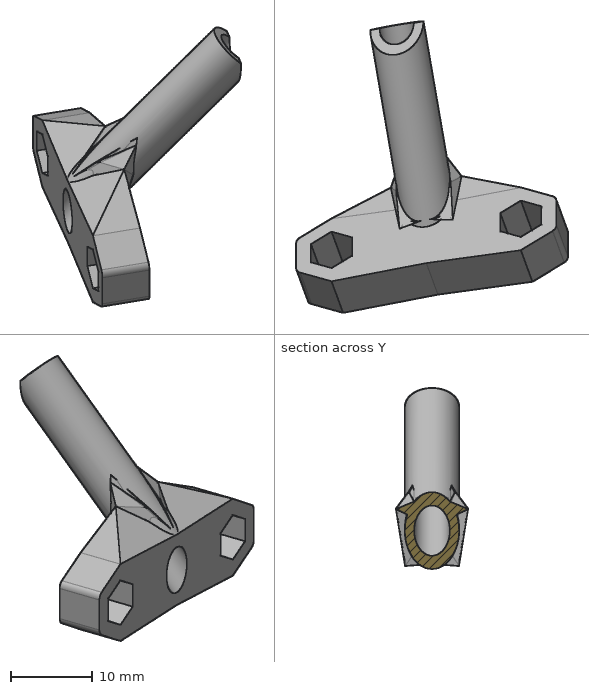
import cadquery as cq
import math

overall_length = 33.0
bar_thickness = 6.0
hex_spacing = 24.0
socket_flats = 5.2
corner_radius = 1.0
tube_diameter = 6.73
bore_diameter = 4.32
tube_reach = 21.22
tube_tilt = 45.0

socket_x = hex_spacing / 2
end_apothem = overall_length / 2 - socket_x
end_half_height = end_apothem / math.cos(math.radians(30))
shoulder_z = end_half_height / 2
tube_radius = tube_diameter / 2
waist_z = tube_radius / math.cos(math.radians(tube_tilt))

web_peak = (4.5, bar_thickness, 8.68)
web_foot = (3.35, bar_thickness, 1.65)

waist_front = (0, 0, waist_z)
spike_ridge = (1.22, 3.15, 7.82)
spike_step = (1.65, 3.7, 8.12)
spike_shoulder = (2.87, 8.0, 10.82)
spike_tip = (2.4, 8.22, 11.58)
tube_flank = (3.45, 7.45, 6.7)
underside_y = 6.65
tube_underside = (0, underside_y, underside_y - waist_z)
spike_core = (0, 6.6, 6.6)


def solid_from_corners(corners, faces):
    """Closed polyhedron from corner points and the corner numbers of each face."""
    sides = [
        cq.Face.makeFromWires(cq.Wire.makePolygon([cq.Vector(*corners[i]) for i in face], close=True))
        for face in faces
    ]
    return cq.Workplane(obj=cq.Solid.makeSolid(cq.Shell.makeShell(sides)))


def tetrahedron(corners):
    return solid_from_corners(corners, [(0, 1, 2), (0, 3, 1), (1, 3, 2), (2, 3, 0)])


def tilted_cylinder(diameter, start, end):
    """Cylinder on the tube axis between two distances from the front face of the bar."""
    angle = math.radians(tube_tilt)
    direction = cq.Vector(0, math.cos(angle), math.sin(angle))
    return cq.Workplane(obj=cq.Solid.makeCylinder(diameter / 2, end - start, direction * start, direction))


def make_bar():
    half_length = overall_length / 2
    outline = [
        (0, waist_z),
        (socket_x, end_half_height),
        (half_length, shoulder_z),
        (half_length, -shoulder_z),
        (socket_x, -end_half_height),
        (0, -waist_z),
        (-socket_x, -end_half_height),
        (-half_length, -shoulder_z),
        (-half_length, shoulder_z),
        (-socket_x, end_half_height),
    ]
    bar = cq.Workplane("XZ").polyline(outline).close().extrude(-bar_thickness)
    return bar.edges("|Y and (<X or >X)").fillet(corner_radius)


def make_gusset():
    """Sloping web on the +X side, with a spike that runs up the flank of the tube."""
    waist_back = (0, bar_thickness, waist_z)
    shoulder_front = (socket_x, 0, end_half_height)
    shoulder_back = (socket_x, bar_thickness, end_half_height)
    gusset = solid_from_corners(
        [waist_front, waist_back, shoulder_front, shoulder_back, web_peak],
        [(0, 2, 4), (2, 3, 4), (3, 1, 4), (1, 0, 4), (0, 1, 3), (0, 3, 2)],
    )
    spike_faces = [
        (waist_front, spike_ridge, spike_step),
        (spike_ridge, spike_tip, spike_shoulder),
        (spike_ridge, spike_shoulder, spike_step),
        (waist_front, spike_step, web_peak),
        (spike_step, spike_shoulder, web_peak),
        (spike_tip, tube_flank, spike_shoulder),
        (spike_shoulder, tube_flank, web_peak),
        (tube_flank, web_foot, web_peak),
        (tube_flank, tube_underside, web_foot),
    ]
    for face in spike_faces:
        gusset = gusset.union(tetrahedron([*face, spike_core]))
    return gusset


axis_length = tube_reach / math.cos(math.radians(tube_tilt))
envelope = cq.Workplane("XY").box(
    overall_length, tube_reach, 2 * overall_length, centered=(True, False, True)
)
tube = tilted_cylinder(tube_diameter, -tube_diameter, axis_length).intersect(envelope)
bore = tilted_cylinder(bore_diameter, -tube_diameter, axis_length + tube_diameter)

gusset = make_gusset()
sockets = (
    cq.Workplane("XZ")
    .pushPoints([(-socket_x, 0), (socket_x, 0)])
    .polygon(6, socket_flats, circumscribed=True)
    .extrude(-bar_thickness)
)
result = make_bar().union(tube).union(gusset).union(gusset.mirror("YZ")).cut(bore).cut(sockets)